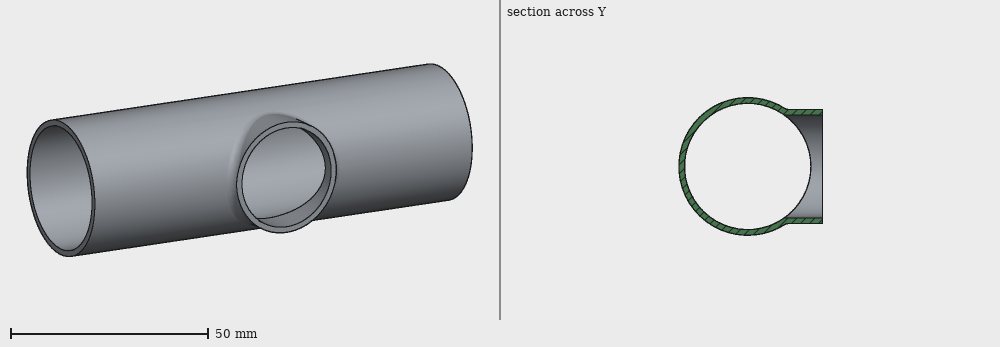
import cadquery as cq

tube_length = 110.0
tube_outer_diameter = 35.0
tube_inner_diameter = 32.0
wall = (tube_outer_diameter - tube_inner_diameter) / 2

branch_outer_diameter = 29.0
branch_inner_diameter = branch_outer_diameter - 2 * wall
branch_rise = 1.5
branch_reach = tube_outer_diameter / 2 + branch_rise
fillet_radius = 2.0

trim_allowance = 5.0
branch_turn = 30.0


def cylinder_along_y(diameter):
    """Full-length cylinder on the tube axis, centred on the origin."""
    return cq.Workplane("XZ").circle(diameter / 2).extrude(tube_length / 2, both=True)


def cylinder_along_x(diameter, length):
    """Cylinder on the branch axis, starting at the tube axis."""
    return cq.Workplane("YZ").circle(diameter / 2).extrude(length)


def trim_block():
    """Block that removes everything beyond the branch face."""
    return (
        cq.Workplane("YZ", origin=(branch_reach, 0, 0))
        .rect(2 * branch_outer_diameter, 2 * branch_outer_diameter)
        .extrude(2 * trim_allowance)
    )


def filleted_body():
    """Solid tube and branch, blended along the seam where they meet."""
    branch = cylinder_along_x(branch_outer_diameter, branch_reach + trim_allowance)
    branch = branch.rotate((0, 0, 0), (1, 0, 0), branch_turn)
    body = cylinder_along_y(tube_outer_diameter).union(branch)
    seam = body.edges("not (%LINE or %CIRCLE)")
    return seam.fillet(fillet_radius).cut(trim_block())


tube_bore = cylinder_along_y(tube_inner_diameter)
branch_bore = cylinder_along_x(branch_inner_diameter, branch_reach)

result = filleted_body().cut(tube_bore).cut(branch_bore)